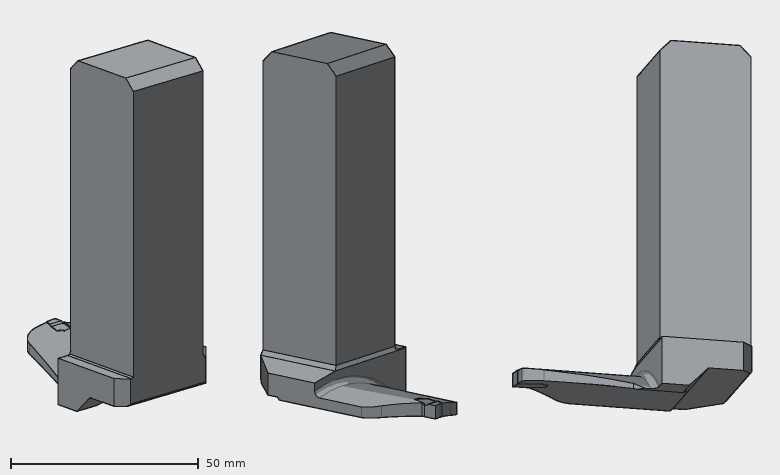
import cadquery as cq
import math


SHANK_SIDE = 25.0
TOTAL_HEIGHT = 97.0
SHANK_TOP_CHAMFER = 3.0
SHANK_FRONT = 0.5
SHANK_Y = 4.1
BACK = SHANK_FRONT + SHANK_SIDE
SHANK_FAR_Y = SHANK_Y + SHANK_SIDE

HEAD_WIDTH = 38.8
HEAD_TOP = 13.1
SHOULDER_Z = 14.1
FOOT_Z = 12.8
FOOT_RUN = 1.0
LEDGE_RUN = 0.7
LEDGE_RISE = 0.3
SLOPE_END_Z = 11.3
HEEL_X = 7.6
STEP_Z = 5.2
STEP_EDGE_CHAMFER = 0.8
NEAR_CORNER_CHAMFER = 3.1
FAR_CORNER_LENGTH = 9.5
FAR_CORNER_WIDTH = 8.7

UPPER_ARC_Y = 29.1
LOWER_ARC_Y = 30.4
UPPER_RADIUS = 35.9
UPPER_CREST = 8.8
LOWER_RADIUS = 56.2
LOWER_CREST = 5.1
ROOT_FILLET = 1.6
BLADE_TIP = -33.1
ROOT_SIDE_Y = 3.9
ROOT_NECK_X = -3.1
CORNER_START_Y = 22.1
ROOT_OVERLAP = 1.0

INSERT_TIP = -33.6
INSERT_SIDE_Y = 29.3
INSERT_END = -25.0
INSERT_END_NEAR_Y = 24.9
INSERT_TOP = 8.8
INSERT_BODY_TOP = 8.3
RAMP_START_X = -31.0
RAMP_RUN = 0.7


def cylinder_along_x(radius, axis_y, crest):
    """Solid cylinder whose highest line is at the given height, longer than the whole part."""
    return (
        cq.Workplane("YZ", origin=(2 * BLADE_TIP, axis_y, crest - radius))
        .circle(radius)
        .extrude(BACK - 3 * BLADE_TIP)
    )


def make_shank():
    block = cq.Workplane("XY").box(
        SHANK_SIDE, SHANK_SIDE, TOTAL_HEIGHT - HEAD_TOP, centered=False
    ).translate((SHANK_FRONT, SHANK_Y, HEAD_TOP))
    return block.faces(">Z").edges("|Y").chamfer(SHANK_TOP_CHAMFER)


def make_head():
    end_section = (
        cq.Workplane("YZ")
        .moveTo(0, 0)
        .lineTo(HEAD_WIDTH, 0)
        .lineTo(HEAD_WIDTH, SLOPE_END_Z)
        .lineTo(SHANK_FAR_Y + FOOT_RUN, FOOT_Z)
        .lineTo(SHANK_FAR_Y, SHOULDER_Z)
        .lineTo(SHANK_Y, SHOULDER_Z)
        .lineTo(SHANK_Y, HEAD_TOP + LEDGE_RISE)
        .lineTo(SHANK_Y - LEDGE_RUN, HEAD_TOP)
        .lineTo(0, HEAD_TOP)
        .close()
        .extrude(BACK)
    )
    side_section = (
        cq.Workplane("XZ")
        .moveTo(0, 0)
        .lineTo(HEEL_X, 0)
        .lineTo(HEEL_X + STEP_Z, STEP_Z)
        .lineTo(BACK - STEP_EDGE_CHAMFER, STEP_Z)
        .lineTo(BACK, STEP_Z + STEP_EDGE_CHAMFER)
        .lineTo(BACK, SHOULDER_Z)
        .lineTo(SHANK_FRONT, SHOULDER_Z)
        .lineTo(0, FOOT_Z)
        .close()
        .extrude(-HEAD_WIDTH)
    )
    plan = (
        cq.Workplane("XY")
        .moveTo(0, 0)
        .lineTo(BACK - NEAR_CORNER_CHAMFER, 0)
        .lineTo(BACK, NEAR_CORNER_CHAMFER)
        .lineTo(BACK, HEAD_WIDTH - FAR_CORNER_WIDTH)
        .lineTo(BACK - FAR_CORNER_LENGTH, HEAD_WIDTH)
        .lineTo(0, HEAD_WIDTH)
        .close()
        .extrude(SHOULDER_Z)
    )
    return end_section.intersect(side_section).intersect(plan)


def make_blade():
    plan = (
        cq.Workplane("XY")
        .moveTo(0, ROOT_SIDE_Y)
        .lineTo(0, HEAD_WIDTH)
        .lineTo(-16.0, HEAD_WIDTH)
        .threePointArc((-18.6, 37.9), (-20.8, 36.3))
        .lineTo(-29.1, INSERT_SIDE_Y)
        .lineTo(BLADE_TIP, INSERT_SIDE_Y)
        .lineTo(BLADE_TIP, CORNER_START_Y)
        .threePointArc((-31.9, 18.0), (-28.5, 15.6))
        .lineTo(-5.9, 7.8)
        .lineTo(ROOT_NECK_X, 5.3)
        .lineTo(ROOT_NECK_X, ROOT_SIDE_Y)
        .close()
        .extrude(HEAD_TOP)
    )
    return plan.intersect(cylinder_along_x(UPPER_RADIUS, UPPER_ARC_Y, UPPER_CREST))


def make_root_fillet():
    """Concave fillet between the upper cylinder of the blade and the front face of the head."""
    axis_z = UPPER_CREST - UPPER_RADIUS
    bulge = ROOT_FILLET * (1 - math.sqrt(0.5))
    ring = (
        cq.Workplane("XZ", origin=(0, UPPER_ARC_Y, axis_z))
        .moveTo(0, UPPER_RADIUS - ROOT_OVERLAP)
        .lineTo(-ROOT_FILLET, UPPER_RADIUS - ROOT_OVERLAP)
        .lineTo(-ROOT_FILLET, UPPER_RADIUS)
        .threePointArc((-bulge, UPPER_RADIUS + bulge), (0, UPPER_RADIUS + ROOT_FILLET))
        .close()
        .revolve(360, (0, 0, 0), (1, 0, 0))
    )
    bounds = cq.Workplane("XY").box(
        2 * ROOT_FILLET, HEAD_WIDTH, HEAD_TOP, centered=(True, False, False)
    )
    return ring.intersect(bounds)


def make_insert_pocket(top_z):
    """Plan shape of the insert, from the lower cylinder up to the given height."""
    return (
        cq.Workplane("XY")
        .moveTo(INSERT_TIP, INSERT_SIDE_Y)
        .lineTo(-30.0, INSERT_SIDE_Y)
        .lineTo(INSERT_END, 27.5)
        .lineTo(INSERT_END, INSERT_END_NEAR_Y)
        .lineTo(-25.8, INSERT_END_NEAR_Y)
        .lineTo(-26.9, 23.8)
        .lineTo(-33.2, 25.8)
        .lineTo(-33.3, 27.0)
        .close()
        .extrude(top_z)
        .cut(cylinder_along_x(LOWER_RADIUS, LOWER_ARC_Y, LOWER_CREST))
    )


def make_holder():
    holder = make_head().union(make_shank()).union(make_blade()).union(make_root_fillet())
    holder = holder.cut(cylinder_along_x(LOWER_RADIUS, LOWER_ARC_Y, LOWER_CREST))
    return holder.cut(make_insert_pocket(HEAD_TOP))


def make_insert():
    """Insert with a high land at its tip and a ramp down to its lower body."""
    side_section = (
        cq.Workplane("XZ")
        .moveTo(INSERT_TIP, 0)
        .lineTo(INSERT_TIP, INSERT_TOP)
        .lineTo(RAMP_START_X, INSERT_TOP)
        .lineTo(RAMP_START_X + RAMP_RUN, INSERT_BODY_TOP)
        .lineTo(0, INSERT_BODY_TOP)
        .lineTo(0, 0)
        .close()
        .extrude(-HEAD_WIDTH)
    )
    return make_insert_pocket(INSERT_TOP).intersect(side_section)


holder = make_holder()
insert = make_insert()
result = cq.Compound.makeCompound([holder.val(), insert.val()])